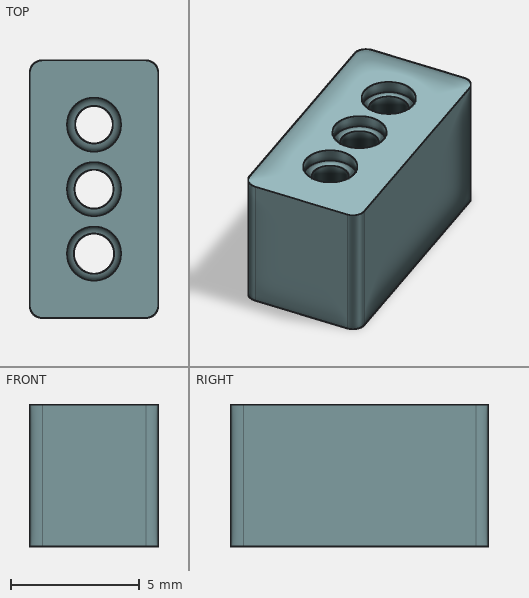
import cadquery as cq

width = 5.0
length = 10.0
height = 5.5
corner_radius = 0.5

hole_diameters = [1.55, 1.5, 1.45]
hole_spacing = length / 4
counterbore_diameter = 2.1
counterbore_depth = 0.5


def rounded_block():
    """Block standing on Z = 0 with rounded vertical edges."""
    block = cq.Workplane("XY").box(width, length, height, centered=(True, True, False))
    return block.edges("|Z").fillet(corner_radius)


def drill_counterbored_hole(body, y, diameter):
    """Drill a through hole on X = 0, counterbored from the top face."""
    return (
        body.faces(">Z")
        .workplane(origin=(0, y, height))
        .cboreHole(diameter, counterbore_diameter, counterbore_depth)
    )


result = rounded_block()
middle_index = (len(hole_diameters) - 1) / 2
for index, hole_diameter in enumerate(hole_diameters):
    hole_y = (index - middle_index) * hole_spacing
    result = drill_counterbored_hole(result, hole_y, hole_diameter)